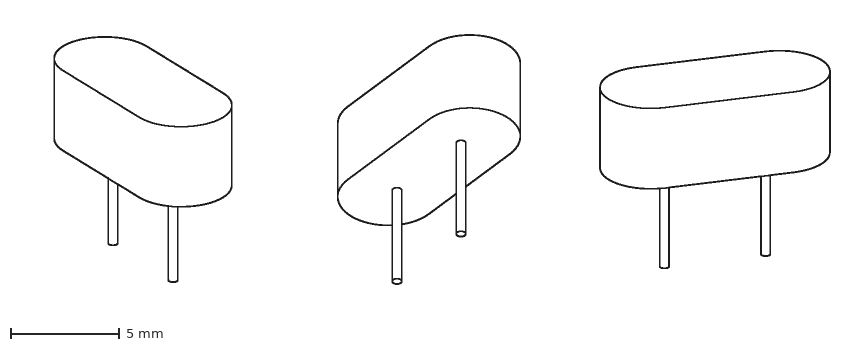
import cadquery as cq

case_length = 10.9
case_width = 4.7
case_height = 4.1

pin_diameter = 0.45
pin_length = 5.1
pin_spacing = 4.88


def make_case():
    """Extrude the rounded-end outline upward from the underside."""
    return cq.Workplane("XY").slot2D(case_length, case_width).extrude(case_height)


def make_pin(x):
    """Make one pin that hangs from the underside of the case at the given X."""
    return cq.Workplane("XY").center(x, 0).circle(pin_diameter / 2).extrude(-pin_length)


case = make_case()
pins = [make_pin(side * pin_spacing / 2) for side in (-1, 1)]

result = cq.Compound.makeCompound([case.val(), *[pin.val() for pin in pins]])